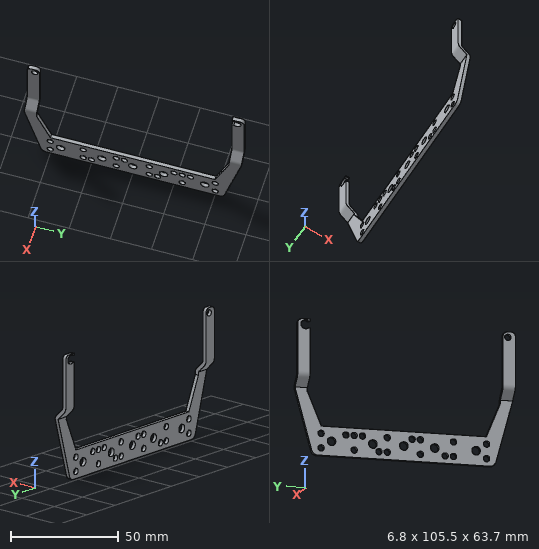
import cadquery as cq
import math

thickness = 2.0
width = 105.5
height = 63.7
depth = 6.8

arm_width = 6.0
bar_height = 14.0
bar_bottom_half_width = 44.1
bar_top_half_width = 40.0
outer_knee_z = 31.6
inner_knee_z = 30.3
bar_corner_radius = 3.0
tip_radius = 2.0

joggle_z = 31.9
joggle_angle = 45.0
lower_bend_radius = 3.0
upper_bend_inner_radius = 2.2
upper_bend_outer_radius = upper_bend_inner_radius + thickness

hole_diameter = 3.0
large_hole_diameter = 4.0
hole_pitch = 4.0
row_offset = 3.5
upper_row_steps = (-10, -6, -2, -1, 2, 5, 6, 7, 10)
lower_row_steps = (-10, -6, -5, -2, 2, 3, 6, 10)
large_hole_positions = (-35.0, -15.0, 0, 15.0, 35.0)
tip_hole_inset = 3.7
tip_hole_drop = 2.6
notch_diameter = 4.2
notch_opening = 3.3

half_width = width / 2
arm_inner_y = half_width - arm_width
tip_hole_y = half_width - tip_hole_inset
tip_hole_z = height - tip_hole_drop


def bent_sheet():
    """Bent strip profile in XZ, extruded over the full width."""
    offset = depth - thickness
    rise = offset / math.tan(math.radians(joggle_angle))
    miter = thickness * math.tan(math.radians(joggle_angle / 2))
    upper_z = joggle_z + rise
    sheet = (
        cq.Workplane("XZ")
        .moveTo(depth, 0)
        .lineTo(depth, joggle_z + miter)
        .lineTo(thickness, upper_z + miter)
        .lineTo(thickness, height)
        .lineTo(0, height)
        .lineTo(0, upper_z)
        .lineTo(offset, joggle_z)
        .lineTo(offset, 0)
        .close()
        .extrude(half_width, both=True)
    )
    bends = (
        (depth, joggle_z + miter, lower_bend_radius),
        (thickness, upper_z + miter, upper_bend_inner_radius),
        (0, upper_z, upper_bend_outer_radius),
    )
    for x, z, radius in bends:
        edge = cq.selectors.NearestToPointSelector((x, 0, z))
        sheet = sheet.edges("|Y").edges(edge).fillet(radius)
    return sheet


def outline():
    """U-shaped outline in YZ, with rounded bar corners and arm tips."""
    right_side = [
        (bar_bottom_half_width, 0),
        (half_width, outer_knee_z),
        (half_width, height),
        (arm_inner_y, height),
        (arm_inner_y, inner_knee_z),
        (bar_top_half_width, bar_height),
    ]
    left_side = [(-y, z) for y, z in reversed(right_side)]
    blank = cq.Workplane("YZ").polyline(right_side + left_side).close().extrude(depth)
    rounded_corners = (
        (bar_bottom_half_width, 0, bar_corner_radius),
        (-bar_bottom_half_width, 0, bar_corner_radius),
        (half_width, height, tip_radius),
        (-half_width, height, tip_radius),
        (-arm_inner_y, height, tip_radius),
    )
    for y, z, radius in rounded_corners:
        edge = cq.selectors.NearestToPointSelector((depth / 2, y, z))
        blank = blank.edges("|X").edges(edge).fillet(radius)
    return blank


def holes(points, diameter):
    """Cylinders along X through the whole depth at the given (Y, Z) points."""
    return cq.Workplane("YZ").pushPoints(points).circle(diameter / 2).extrude(depth)


def notch():
    """Round seat in the +Y arm, opening inward through a narrower slot."""
    slot_length = tip_hole_y - arm_inner_y
    slot = (
        cq.Workplane("YZ")
        .center(tip_hole_y - slot_length / 2, tip_hole_z)
        .rect(slot_length, notch_opening)
        .extrude(depth)
    )
    return holes([(tip_hole_y, tip_hole_z)], notch_diameter).union(slot)


bar_middle_z = bar_height / 2
small_points = [(step * hole_pitch, bar_middle_z + row_offset) for step in upper_row_steps]
small_points += [(step * hole_pitch, bar_middle_z - row_offset) for step in lower_row_steps]
small_points.append((-tip_hole_y, tip_hole_z))
large_points = [(y, bar_middle_z) for y in large_hole_positions]

result = (
    bent_sheet()
    .intersect(outline())
    .cut(holes(small_points, hole_diameter))
    .cut(holes(large_points, large_hole_diameter))
    .cut(notch())
)